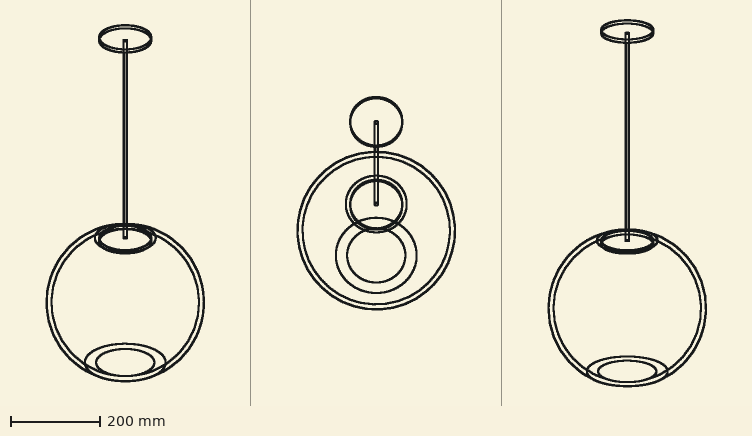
import cadquery as cq
import math

total_height = 821.5

globe_radius = 177.0
wall_thickness = 11.5
shade_height = 315.0
top_rim_radius = 68.0
top_hole_radius = 58.0

plate_radius = 58.0
plate_thickness = 8.0
rod_radius = 3.7

inner_radius = globe_radius - wall_thickness
globe_center_z = shade_height - math.sqrt(globe_radius**2 - top_rim_radius**2)
plate_bottom_z = total_height - plate_thickness
rod_length = plate_bottom_z - shade_height


def cylinder(radius, height, base_z):
    """Upright cylinder on the lamp axis."""
    return cq.Workplane("XY").workplane(offset=base_z).circle(radius).extrude(height)


def globe(radius):
    """Full sphere about the center of the shade."""
    return cq.Workplane("XY").sphere(radius).translate((0, 0, globe_center_z))


def make_shade():
    """Globe shell trimmed flat at both ends, with a straight-sided hole in the top."""
    trim = cylinder(globe_radius + wall_thickness, shade_height, 0)
    top_hole = cylinder(top_hole_radius, shade_height - globe_center_z, globe_center_z)
    return globe(globe_radius).intersect(trim).cut(globe(inner_radius)).cut(top_hole)


def make_rod():
    """Rod hanging from the plate down to the plane of the shade's top rim."""
    return cylinder(rod_radius, rod_length, shade_height)


def make_plate():
    """Round ceiling plate at the top of the rod."""
    return cylinder(plate_radius, plate_thickness, plate_bottom_z)


shade = make_shade()
rod = make_rod()
plate = make_plate()

result = cq.Compound.makeCompound([shade.solids().val(), rod.val(), plate.val()])